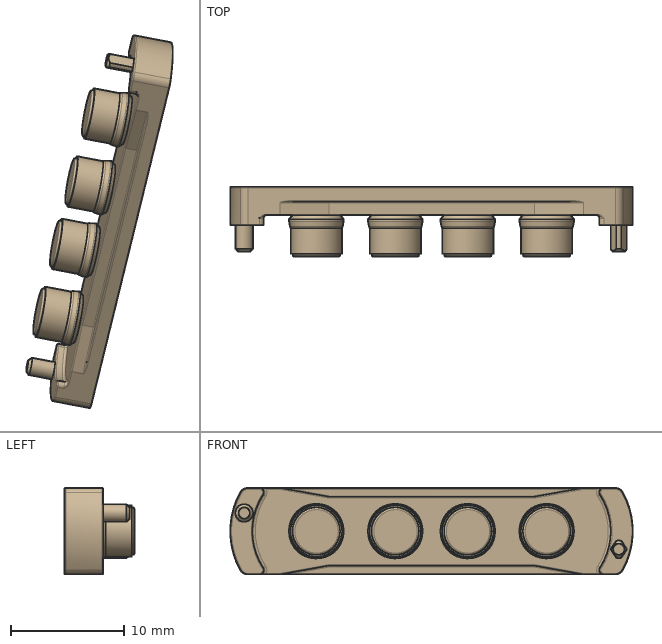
import cadquery as cq
import math

length = 35.52
height = 7.65
body_depth = 3.4
end_radius = 7.0
end_corner_radius = 0.78
edge_radius = 0.1

floor_depth = 2.52
recess_length = 31.6
recess_end_radius = 5.9
recess_root_radius = 0.25
pad_tip_radius = 0.4
recess_overrun = 0.9

groove_back = 1.3
groove_drop = 0.78
groove_half_length = 13.4
groove_straight_half_length = 9.05
face_edge_half_span = 14.2

total_depth = 6.18
button_offsets = (3.2, 10.15)
button_radius = 2.27
button_nose_radius = 2.1
button_nose_length = 0.25
button_nose_rounding = 0.18
collar_root_radius = 2.13
collar_radius = 2.4
collar_taper_radius = 2.35
collar_lip_start = 2.88
collar_lip_end = 3.05
collar_taper_end = 3.48
collar_end = 3.65

pin_x = 16.5
pin_z = 1.6
pin_radius = 0.78
pin_end = 5.75
pin_chamfer = 0.3
diamond_half_width = 0.7
diamond_land_half_width = 0.2

half_length = length / 2
half_height = height / 2
groove_floor_z = half_height - groove_drop


def front_plane(depth=0.0):
    """XZ plane at the given depth in front of the back face; extrusions run towards -Y."""
    return cq.Workplane("XZ", origin=(0, -depth, 0))


def make_bar():
    """Bar with bowed, corner-rounded ends."""
    bow = end_radius - math.sqrt(end_radius**2 - half_height**2)
    corner_x = half_length - bow
    return (
        front_plane()
        .moveTo(-corner_x, half_height)
        .lineTo(corner_x, half_height)
        .threePointArc((half_length, 0), (corner_x, -half_height))
        .lineTo(-corner_x, -half_height)
        .threePointArc((-half_length, 0), (-corner_x, half_height))
        .close()
        .extrude(body_depth)
        .edges("|Y")
        .fillet(end_corner_radius)
    )


def make_recess():
    """Cutter for the recessed front face: bowed ends, rounded pad tips and a rounded root."""
    arc_x = recess_length / 2 - recess_end_radius
    tip_z = half_height - pad_tip_radius
    tip_angle = math.asin(tip_z / (recess_end_radius + pad_tip_radius))
    tip_x = arc_x + (recess_end_radius + pad_tip_radius) * math.cos(tip_angle)
    join_x = arc_x + recess_end_radius * math.cos(tip_angle)
    join_z = recess_end_radius * math.sin(tip_angle)
    outer_z = half_height + recess_overrun
    return (
        front_plane(floor_depth)
        .moveTo(-tip_x, outer_z)
        .lineTo(tip_x, outer_z)
        .lineTo(tip_x, half_height)
        .radiusArc((join_x, join_z), -pad_tip_radius)
        .threePointArc((recess_length / 2, 0), (join_x, -join_z))
        .radiusArc((tip_x, -half_height), -pad_tip_radius)
        .lineTo(tip_x, -outer_z)
        .lineTo(-tip_x, -outer_z)
        .lineTo(-tip_x, -half_height)
        .radiusArc((-join_x, -join_z), -pad_tip_radius)
        .threePointArc((-recess_length / 2, 0), (-join_x, join_z))
        .radiusArc((-tip_x, half_height), -pad_tip_radius)
        .close()
        .extrude(body_depth)
        .faces(">Y")
        .edges()
        .fillet(recess_root_radius)
    )


def make_groove(side):
    """Cutter for one long groove; side is +1 for the upper and -1 for the lower face."""
    outer_z = side * half_height
    inner_z = side * groove_floor_z
    return (
        front_plane(groove_back)
        .moveTo(-groove_half_length, outer_z)
        .lineTo(-groove_straight_half_length, inner_z)
        .lineTo(groove_straight_half_length, inner_z)
        .lineTo(groove_half_length, outer_z)
        .close()
        .extrude(body_depth)
    )


def make_button(x):
    """Round button with a lipped collar at its root and a narrower, rounded nose."""
    return (
        cq.Workplane("XY")
        .moveTo(0, -floor_depth + edge_radius)
        .lineTo(collar_root_radius, -floor_depth + edge_radius)
        .lineTo(collar_root_radius, -floor_depth)
        .lineTo(collar_radius, -collar_lip_start)
        .lineTo(collar_radius, -collar_lip_end)
        .lineTo(collar_taper_radius, -collar_taper_end)
        .lineTo(button_radius, -collar_end)
        .lineTo(button_radius, button_nose_length - total_depth)
        .lineTo(button_nose_radius, button_nose_length - total_depth)
        .lineTo(button_nose_radius, -total_depth)
        .lineTo(0, -total_depth)
        .close()
        .revolve(360, (0, 0, 0), (0, 1, 0))
        .faces("<Y")
        .edges()
        .fillet(button_nose_rounding)
        .translate((x, 0, 0))
    )


def make_round_pin(x, z):
    """Round pin with a chamfered end, rooted inside the pad."""
    return (
        front_plane(floor_depth)
        .center(x, z)
        .circle(pin_radius)
        .extrude(pin_end - floor_depth)
        .faces("<Y")
        .chamfer(pin_chamfer)
    )


def make_diamond_pin(x, z):
    """Round pin trimmed to narrow lands above and below and a ridge on each side."""
    land_z = math.sqrt(pin_radius**2 - diamond_land_half_width**2)
    prism = (
        front_plane(floor_depth)
        .center(x, z)
        .moveTo(-diamond_half_width, 0)
        .lineTo(-diamond_land_half_width, land_z)
        .lineTo(-diamond_land_half_width, pin_radius)
        .lineTo(diamond_land_half_width, pin_radius)
        .lineTo(diamond_land_half_width, land_z)
        .lineTo(diamond_half_width, 0)
        .lineTo(diamond_land_half_width, -land_z)
        .lineTo(diamond_land_half_width, -pin_radius)
        .lineTo(-diamond_land_half_width, -pin_radius)
        .lineTo(-diamond_land_half_width, -land_z)
        .close()
        .extrude(pin_end - floor_depth)
    )
    return make_round_pin(x, z).intersect(prism)


def round_edges(body, depth, half_span, z_from, z_to):
    """Round the edges whose centres lie at the given depth, within half_span in X and a Z range."""
    margin = 0.05
    low_corner = (-half_span, -depth - margin, min(z_from, z_to))
    high_corner = (half_span, -depth + margin, max(z_from, z_to))
    return body.edges(cq.selectors.BoxSelector(low_corner, high_corner)).fillet(edge_radius)


result = make_bar().cut(make_recess())
for side in (1, -1):
    result = result.cut(make_groove(side))

result = result.faces(">Y").edges().fillet(edge_radius)
result = result.faces("<Y").edges().fillet(edge_radius)

for side in (1, -1):
    inner_limit = side * (groove_floor_z - edge_radius)
    rim_limit = side * (half_height - edge_radius / 2)
    outer_limit = side * (half_height + edge_radius)
    result = round_edges(result, groove_back, groove_half_length, inner_limit, rim_limit)
    result = round_edges(result, groove_back, groove_half_length, rim_limit, outer_limit)
    result = round_edges(result, floor_depth, face_edge_half_span, inner_limit, outer_limit)

for offset in button_offsets:
    result = result.union(make_button(-offset))
    result = result.union(make_button(offset))

result = result.union(make_round_pin(-pin_x, pin_z))
result = result.union(make_diamond_pin(pin_x, -pin_z))